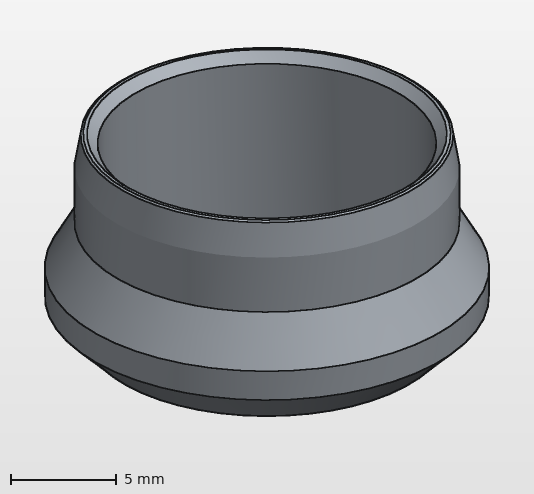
import cadquery as cq
import math

height = 10.5
bore_radius = 16 / 2
neck_radius = 18.2 / 2
collar_radius = 21 / 2

collar_bottom_z = 1.84
collar_top_z = 3.38
neck_top_z = 8.72

shoulder_angle = math.radians(30)
nose_angle = math.radians(10)

bore_chamfer = 0.5
rim_chamfer_height = 0.07
rim_chamfer_width = 0.12

bottom_radius = collar_radius - collar_bottom_z
neck_bottom_z = collar_top_z + (collar_radius - neck_radius) / math.tan(shoulder_angle)
nose_top_z = height - rim_chamfer_height
nose_top_radius = neck_radius - (nose_top_z - neck_top_z) * math.tan(nose_angle)


def ring_section():
    """Half section of the ring: X is the radius, Y is the height."""
    return cq.Workplane("XZ").polyline([
        (bore_radius, 0),
        (bottom_radius, 0),
        (collar_radius, collar_bottom_z),
        (collar_radius, collar_top_z),
        (neck_radius, neck_bottom_z),
        (neck_radius, neck_top_z),
        (nose_top_radius, nose_top_z),
        (nose_top_radius - rim_chamfer_width, height),
        (bore_radius + bore_chamfer, height),
        (bore_radius, height - bore_chamfer),
    ]).close()


result = ring_section().revolve(360, (0, 0, 0), (0, 1, 0))